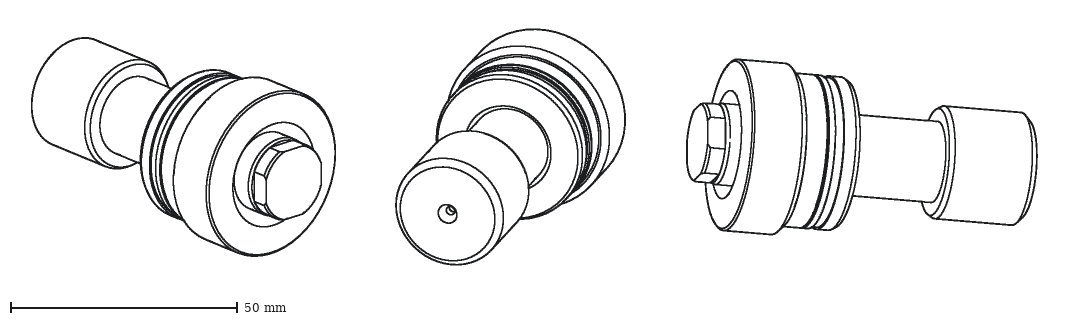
import cadquery as cq
import math


total_length = 75.0
shaft_radius = 9.0
head_radius = 12.5
head_length = 20.4
head_front_chamfer = 1.5
head_back_chamfer_length = 1.1
head_back_chamfer_depth = 0.7
shaft_end = 70.95
shaft_chamfer_length = 0.9
shaft_chamfer_depth = 0.3

drive_across_flats = 16.1
drive_flat_width = 7.05
drive_radius = math.hypot(drive_across_flats / 2, drive_flat_width / 2)
drive_chamfer_length = 0.7
drive_chamfer_depth = 0.3

countersink_radius = 2.2
drill_radius = 1.0
countersink_half_angle = math.radians(30)
drill_point_half_angle = math.radians(60)
countersink_depth = (countersink_radius - drill_radius) / math.tan(countersink_half_angle)
drill_depth = countersink_depth + 2 * drill_radius
drill_point_depth = drill_depth + drill_radius / math.tan(drill_point_half_angle)

housing_start = 42.3
barrel_radius = 17.0
barrel_chamfer_length = 1.1
barrel_chamfer_depth = 0.7
collar_radius = 38.0 / 2
collar_start = 54.9
collar_front_chamfer = 1.5
collar_back = 67.8
collar_back_chamfer = 0.45
back_cone_height = 0.5

groove_depth = 0.45
wide_groove_start = 46.1
wide_groove_width = 2.0
narrow_groove_start = 49.6
narrow_groove_width = 0.45

front_mouth_radius = 10.05
back_mouth_radius = 12.0
front_mouth_depth = front_mouth_radius - shaft_radius
back_mouth_depth = back_mouth_radius - shaft_radius


def turned(profile):
    """Revolve a closed outline of (x, radius) points about the X axis."""
    return cq.Workplane("XY").polyline(profile).close().revolve(360, (0, 0, 0), (1, 0, 0))


def ring(start, width, inner_radius, outer_radius):
    return cq.Workplane("YZ", origin=(start, 0, 0)).circle(outer_radius).circle(inner_radius).extrude(width)


def make_centre_hole():
    return turned([
        (0, 0),
        (0, countersink_radius),
        (countersink_depth, drill_radius),
        (drill_depth, drill_radius),
        (drill_point_depth, 0),
    ])


def make_drive():
    drive_length = total_length - shaft_end
    blank = turned([
        (shaft_end, 0),
        (shaft_end, drive_radius),
        (total_length - drive_chamfer_length, drive_radius),
        (total_length, drive_radius - drive_chamfer_depth),
        (total_length, 0),
    ])
    square = (
        cq.Workplane("YZ", origin=(shaft_end, 0, 0))
        .rect(drive_across_flats, drive_across_flats)
        .extrude(drive_length)
    )
    return blank.intersect(square)


def make_shaft():
    body = turned([
        (0, 0),
        (0, head_radius - head_front_chamfer),
        (head_front_chamfer, head_radius),
        (head_length - head_back_chamfer_length, head_radius),
        (head_length, head_radius - head_back_chamfer_depth),
        (head_length, shaft_radius),
        (shaft_end - shaft_chamfer_length, shaft_radius),
        (shaft_end, shaft_radius - shaft_chamfer_depth),
        (shaft_end, 0),
    ])
    return body.union(make_drive()).cut(make_centre_hole())


def make_housing():
    housing_end = collar_back + back_cone_height
    body = turned([
        (housing_start, front_mouth_radius),
        (housing_start, barrel_radius - barrel_chamfer_depth),
        (housing_start + barrel_chamfer_length, barrel_radius),
        (collar_start, barrel_radius),
        (collar_start, collar_radius - collar_front_chamfer),
        (collar_start + collar_front_chamfer, collar_radius),
        (collar_back - collar_back_chamfer, collar_radius),
        (collar_back, collar_radius - collar_back_chamfer),
        (housing_end, back_mouth_radius),
        (housing_end - back_mouth_depth, shaft_radius),
        (housing_start + front_mouth_depth, shaft_radius),
    ])
    grooves = [
        (wide_groove_start, wide_groove_width),
        (narrow_groove_start, narrow_groove_width),
    ]
    for start, width in grooves:
        body = body.cut(ring(start, width, barrel_radius - groove_depth, collar_radius))
    return body


shaft = make_shaft()
housing = make_housing()
result = cq.Compound.makeCompound([shaft.val(), housing.val()])